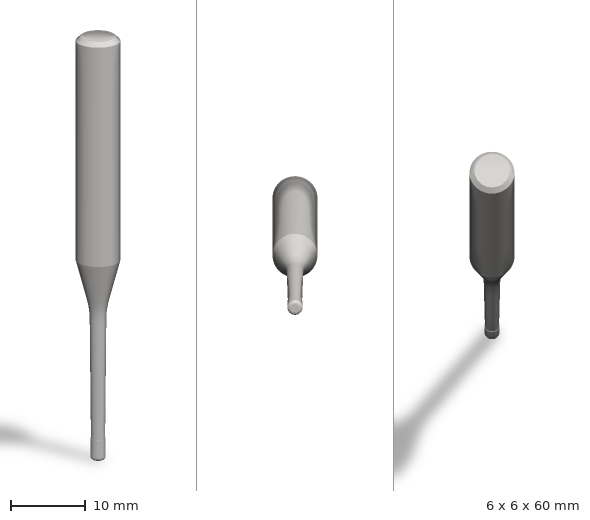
import cadquery as cq
import math

total_length = 60.0
shank_radius = 3.0

chamfer_width = 0.65
chamfer_height = 0.6

cone_top_z = 28.3
cone_bottom_z = 22.55
cone_half_angle = math.radians(15.0)
blend_radius = 10.0

neck_radius = 0.95
taper_bottom_z = 4.3

tip_radius = 1.0
tip_length = 2.7
shoulder_top_z = 3.05
corner_radius = 0.5

cone_bottom_radius = shank_radius - (cone_top_z - cone_bottom_z) * math.tan(cone_half_angle)
blend_centre_radius = cone_bottom_radius + blend_radius * math.cos(cone_half_angle)
blend_bottom_z = cone_bottom_z - blend_radius * math.sin(cone_half_angle)
blend_bottom_radius = blend_centre_radius - blend_radius
blend_middle = (
    blend_centre_radius - blend_radius * math.cos(cone_half_angle / 2),
    blend_bottom_z + blend_radius * math.sin(cone_half_angle / 2),
)


def make_shank():
    """Turned body: shoulder, neck, blend, cone and chamfered shank."""
    profile = (
        cq.Workplane("XZ")
        .moveTo(0, tip_length)
        .lineTo(tip_radius, tip_length)
        .lineTo(tip_radius, shoulder_top_z)
        .lineTo(neck_radius, shoulder_top_z)
        .lineTo(neck_radius, taper_bottom_z)
        .lineTo(blend_bottom_radius, blend_bottom_z)
        .threePointArc(blend_middle, (cone_bottom_radius, cone_bottom_z))
        .lineTo(shank_radius, cone_top_z)
        .lineTo(shank_radius, total_length - chamfer_height)
        .lineTo(shank_radius - chamfer_width, total_length)
        .lineTo(0, total_length)
        .close()
    )
    return profile.revolve(360, (0, 0), (0, 1))


def make_cutting_tip():
    """Cylinder with a rounded bottom edge, butted against the shank body."""
    return cq.Workplane("XY").circle(tip_radius).extrude(tip_length).faces("<Z").edges().fillet(corner_radius)


shank = make_shank()
cutting_tip = make_cutting_tip()

result = cq.Compound.makeCompound([shank.val(), cutting_tip.val()])